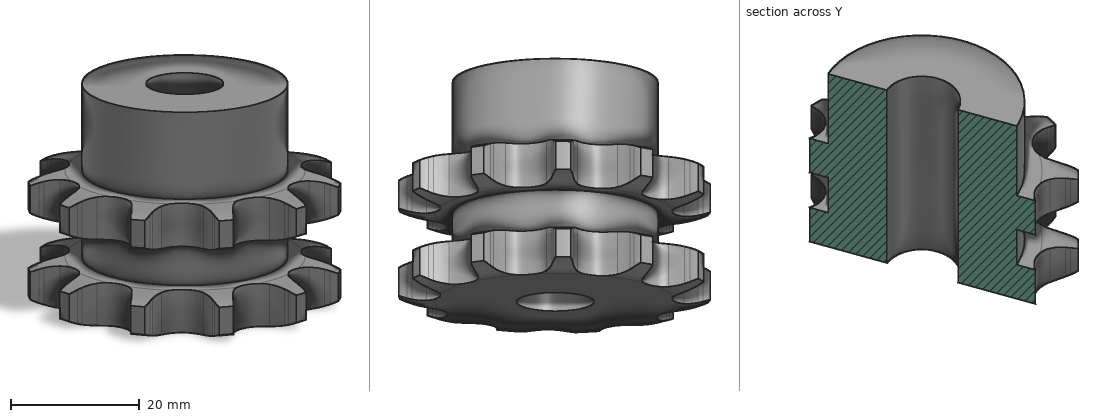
import cadquery as cq
import math


tooth_count = 11
chain_pitch = 12.7
roller_diameter = 8.55
tip_diameter = 48.7
total_height = 35.0
hub_diameter = 32.0
bore_diameter = 12.0
plate_thickness = 7.0
strand_spacing = 13.95
flat_face_diameter = 37.3
tip_relief = 1.25

seating_radius = 0.5025 * roller_diameter
working_offset = 0.8 * roller_diameter
topping_offset = 1.4 * roller_diameter

pitch_angle = 360 / tooth_count
seating_angle = 35 + 60 / tooth_count
working_angle = 18 - 56 / tooth_count
topping_sweep = 35.0

pitch_radius = chain_pitch / (2 * math.sin(math.radians(pitch_angle / 2)))
tip_radius = tip_diameter / 2
flat_face_radius = flat_face_diameter / 2


def polar(center, radius, angle):
    """Point at the given radius and angle (degrees) from a center."""
    turn = math.radians(angle)
    return (center[0] + radius * math.cos(turn), center[1] + radius * math.sin(turn))


def mirrored(point):
    """Point reflected across the centre line of the gap."""
    return (-point[0], point[1])


def tooth_gap():
    """Cutter for the gap centred on +Y: seating arc, working arcs, flank lines and topping arcs."""
    roller_center = (0, pitch_radius)
    gap_bottom = (0, pitch_radius - seating_radius)
    seating_end = polar(roller_center, seating_radius, -seating_angle)

    working_center = polar(roller_center, working_offset, 180 - seating_angle)
    working_radius = seating_radius + working_offset
    flank_angle = working_angle - seating_angle
    working_middle = polar(working_center, working_radius, flank_angle - working_angle / 2)
    working_end = polar(working_center, working_radius, flank_angle)

    topping_center = polar(roller_center, topping_offset, -pitch_angle / 2)
    normal = math.radians(flank_angle)
    topping_radius = (
        (topping_center[0] - working_end[0]) * math.cos(normal)
        + (topping_center[1] - working_end[1]) * math.sin(normal)
    )
    facing_angle = 180 + flank_angle
    flank_end = polar(topping_center, topping_radius, facing_angle)
    topping_middle = polar(topping_center, topping_radius, facing_angle - topping_sweep / 2)
    topping_end = polar(topping_center, topping_radius, facing_angle - topping_sweep)

    return (
        cq.Workplane("XY")
        .moveTo(*topping_end)
        .threePointArc(topping_middle, flank_end)
        .lineTo(*working_end)
        .threePointArc(working_middle, seating_end)
        .threePointArc(gap_bottom, mirrored(seating_end))
        .threePointArc(mirrored(working_middle), mirrored(working_end))
        .lineTo(*mirrored(flank_end))
        .threePointArc(mirrored(topping_middle), mirrored(topping_end))
        .close()
        .extrude(plate_thickness)
    )


def plate_blank():
    """Disc whose faces curve smoothly towards the rim, tangent to the flat middle."""
    relief_width = tip_radius - flat_face_radius
    relief_radius = (relief_width**2 + tip_relief**2) / (2 * tip_relief)
    half_turn = math.degrees(math.asin(relief_width / relief_radius)) / 2
    lower_middle = polar((flat_face_radius, relief_radius), relief_radius, half_turn - 90)
    upper_middle = (lower_middle[0], plate_thickness - lower_middle[1])
    return (
        cq.Workplane("XZ")
        .lineTo(flat_face_radius, 0)
        .threePointArc(lower_middle, (tip_radius, tip_relief))
        .lineTo(tip_radius, plate_thickness - tip_relief)
        .threePointArc(upper_middle, (flat_face_radius, plate_thickness))
        .lineTo(0, plate_thickness)
        .close()
        .revolve(360, (0, 0, 0), (0, 1, 0))
    )


def toothed_plate():
    """One sprocket plate with a gap centred on +Y."""
    plate = plate_blank()
    gap = tooth_gap()
    for index in range(tooth_count):
        plate = plate.cut(gap.rotate((0, 0, 0), (0, 0, 1), index * pitch_angle))
    return plate


hub = cq.Workplane("XY").circle(hub_diameter / 2).extrude(total_height)
bore = cq.Workplane("XY").circle(bore_diameter / 2).extrude(total_height)
lower_plate = toothed_plate()
upper_plate = lower_plate.translate((0, 0, strand_spacing))

result = hub.union(lower_plate).union(upper_plate).cut(bore)